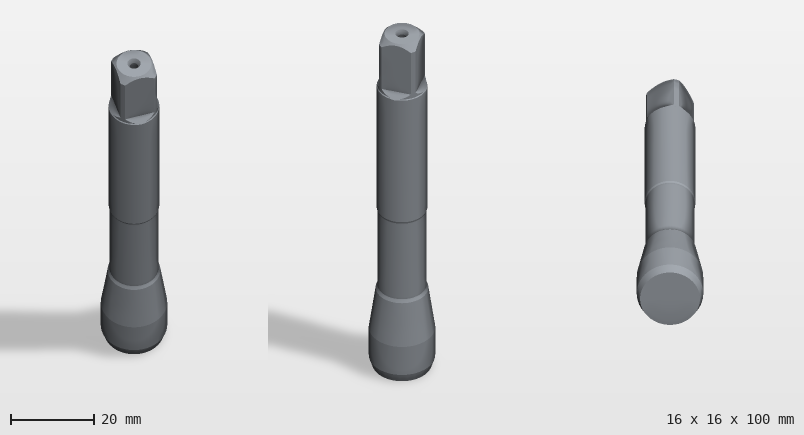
import cadquery as cq
import math

total_length = 100.0

head_diameter = 16.0
nose_diameter = 14.4
nose_length = 2.5
land_end = 11.0
taper_end = 23.0
taper_end_diameter = 12.7
head_length = 23.9

neck_diameter = 11.8
guide_diameter = 12.2
guide_start = 46.8
guide_end = 84.3
guide_bevel_length = 0.6

square_width = 9.2
square_start = 85.7
square_tip_diameter = 8.4

centre_diameter = 2.0
centre_mouth_diameter = 3.2
centre_depth = 3.0
countersink_angle = 60.0
drill_point_angle = 120.0


def revolve_profile(points):
    """Revolve (diameter, height) points about Z, closing the profile on the axis."""
    outline = [(0, points[0][1])] if points[0][0] else []
    outline += [(diameter / 2, height) for diameter, height in points]
    outline.append((0, points[-1][1]))
    return cq.Workplane("XZ").polyline(outline).close().revolve(360, (0, 0), (0, 1))


def cone_depth(large_diameter, small_diameter, full_angle):
    """Axial length of a cone between two diameters."""
    return (large_diameter - small_diameter) / 2 / math.tan(math.radians(full_angle / 2))


def make_head():
    return revolve_profile([
        (nose_diameter, 0),
        (head_diameter, nose_length),
        (head_diameter, land_end),
        (taper_end_diameter, taper_end),
        (neck_diameter, head_length),
    ])


def make_flat_cutter():
    """Block that mills the +X flat, with a 45 degree run-out at its lower end."""
    inner = square_width / 2
    outer = guide_diameter
    runout = outer - inner
    return (
        cq.Workplane("XZ")
        .polyline([
            (inner, square_start),
            (outer, square_start - runout),
            (outer, total_length),
            (inner, total_length),
        ])
        .close()
        .extrude(guide_diameter, both=True)
    )


def make_centre_hole():
    """Countersunk pilot bore with a drill point."""
    sink_depth = cone_depth(centre_mouth_diameter, centre_diameter, countersink_angle)
    point_depth = cone_depth(centre_diameter, 0, drill_point_angle)
    return revolve_profile([
        (0, total_length - centre_depth - point_depth),
        (centre_diameter, total_length - centre_depth),
        (centre_diameter, total_length - sink_depth),
        (centre_mouth_diameter, total_length),
    ])


def make_shank():
    guide_step = (guide_diameter - neck_diameter) / 2
    tip_bevel = (neck_diameter - square_tip_diameter) / 2
    shank = revolve_profile([
        (neck_diameter, head_length),
        (neck_diameter, guide_start),
        (guide_diameter, guide_start + guide_bevel_length),
        (guide_diameter, guide_end),
        (neck_diameter, guide_end + guide_step),
        (neck_diameter, total_length - tip_bevel),
        (square_tip_diameter, total_length),
    ])
    flat_cutter = make_flat_cutter()
    for angle in (0, 90, 180, 270):
        shank = shank.cut(flat_cutter.rotate((0, 0, 0), (0, 0, 1), angle))
    return shank.cut(make_centre_hole())


head = make_head()
shank = make_shank()
result = cq.Compound.makeCompound([head.val(), shank.val()])